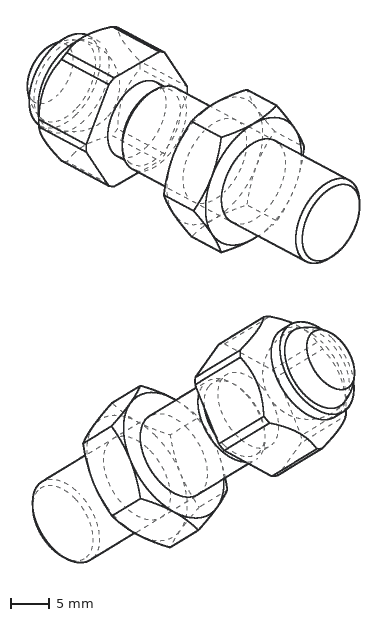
import cadquery as cq
import math


BALL_RADIUS = 6.0
BALL_CENTRE_X = 4.2

COLLAR_START_X = 2.6
COLLAR_RADIUS = 6.65
CONE_START_X = 4.25
HEAD_END_X = 15.65
HEAD_ACROSS_FLATS = 17.0
HEAD_CORNER_RADIUS = 9.5
NECK_RADIUS = 5.45
NECK_END_X = 18.25
THREAD_RADIUS = 6.0
SCREW_END_X = 50.7
TIP_CHAMFER = 0.6

NUT_START_X = 29.7
NUT_THICKNESS = 7.0
NUT_ACROSS_FLATS = 18.0
NUT_FACE_RADIUS = NUT_ACROSS_FLATS / 2
NUT_CHAMFER_ANGLE = 30.0


def corner_diameter(across_flats):
    """Diameter of the circle through the corners of a hexagon."""
    return across_flats / math.cos(math.radians(30))


def hexagon_bar(start_x, length, across_flats):
    """Hexagonal bar along X with corners on +Y and -Y and flats on +Z and -Z."""
    return (
        cq.Workplane("YZ", origin=(start_x, 0, 0))
        .polygon(6, corner_diameter(across_flats))
        .extrude(length)
    )


def turned(profile):
    """Solid of revolution about X from (x, radius) points that start and end on the axis."""
    return cq.Workplane("XY").polyline(profile).close().revolve(360, (0, 0, 0), (1, 0, 0))


def make_ball():
    """Ball with its front cap missing, leaving a flat at X = 0."""
    flat_radius = math.sqrt(BALL_RADIUS**2 - BALL_CENTRE_X**2)
    return (
        cq.Workplane("XY")
        .moveTo(0, 0)
        .lineTo(0, flat_radius)
        .threePointArc((BALL_CENTRE_X, BALL_RADIUS), (BALL_CENTRE_X + BALL_RADIUS, 0))
        .close()
        .revolve(360, (0, 0, 0), (1, 0, 0))
    )


def make_screw_head():
    """Hexagon with turned corners and a conical front."""
    cone_end_x = CONE_START_X + HEAD_CORNER_RADIUS - COLLAR_RADIUS
    envelope = turned([
        (CONE_START_X, 0),
        (CONE_START_X, COLLAR_RADIUS),
        (cone_end_x, HEAD_CORNER_RADIUS),
        (HEAD_END_X, HEAD_CORNER_RADIUS),
        (HEAD_END_X, 0),
    ])
    hexagon = hexagon_bar(CONE_START_X, HEAD_END_X - CONE_START_X, HEAD_ACROSS_FLATS)
    return hexagon.intersect(envelope)


def make_screw():
    """Collar, head, neck and shank in one piece, with a spherical socket for the ball."""
    collar = turned([
        (COLLAR_START_X, 0),
        (COLLAR_START_X, COLLAR_RADIUS),
        (CONE_START_X, COLLAR_RADIUS),
        (CONE_START_X, 0),
    ])
    neck_chamfer = THREAD_RADIUS - NECK_RADIUS
    shank = turned([
        (HEAD_END_X, 0),
        (HEAD_END_X, NECK_RADIUS),
        (NECK_END_X, NECK_RADIUS),
        (NECK_END_X + neck_chamfer, THREAD_RADIUS),
        (SCREW_END_X - TIP_CHAMFER, THREAD_RADIUS),
        (SCREW_END_X, THREAD_RADIUS - TIP_CHAMFER),
        (SCREW_END_X, 0),
    ])
    return make_screw_head().union(collar).union(shank).cut(make_ball())


def make_nut():
    """Hexagon nut with both ends chamfered, bored to the shank."""
    nut_end_x = NUT_START_X + NUT_THICKNESS
    corner_radius = corner_diameter(NUT_ACROSS_FLATS) / 2
    chamfer_length = (corner_radius - NUT_FACE_RADIUS) * math.tan(math.radians(NUT_CHAMFER_ANGLE))
    envelope = turned([
        (NUT_START_X, 0),
        (NUT_START_X, NUT_FACE_RADIUS),
        (NUT_START_X + chamfer_length, corner_radius),
        (nut_end_x - chamfer_length, corner_radius),
        (nut_end_x, NUT_FACE_RADIUS),
        (nut_end_x, 0),
    ])
    bore = cq.Workplane("YZ", origin=(NUT_START_X, 0, 0)).circle(THREAD_RADIUS).extrude(NUT_THICKNESS)
    hexagon = hexagon_bar(NUT_START_X, NUT_THICKNESS, NUT_ACROSS_FLATS)
    return hexagon.intersect(envelope).cut(bore)


ball = make_ball()
screw = make_screw()
nut = make_nut()

result = cq.Compound.makeCompound([ball.val(), screw.val(), nut.val()])